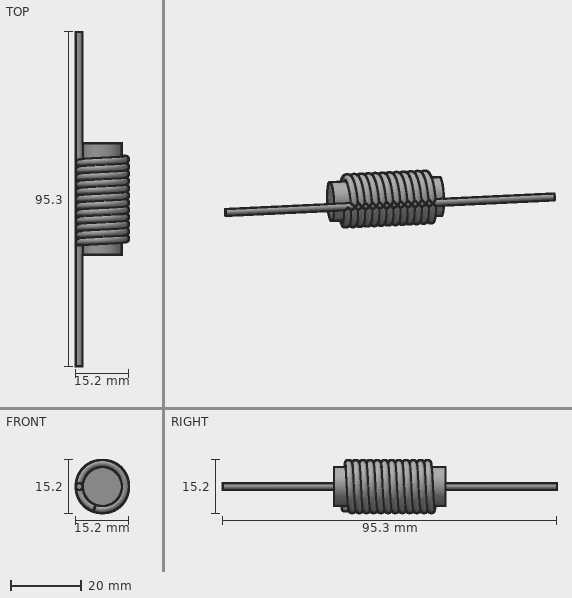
import cadquery as cq
import math

total_length = 95.25
coil_diameter = 15.2
core_diameter = 11.1
core_length = 31.8
core_gap = 0.01
turn_gap = 0.01
straight_inset = 0.01
turns_between_leads = 12
overshoot_angle = 70.0

wire_diameter = (coil_diameter - core_diameter) / 2 - core_gap
wire_radius = wire_diameter / 2
straight_radius = wire_radius - straight_inset
winding_radius = (coil_diameter - wire_diameter) / 2

pitch = wire_diameter + turn_gap
overshoot_turns = overshoot_angle / 360
winding_length = (turns_between_leads + overshoot_turns) * pitch
winding_start_y = -(turns_between_leads / 2 + overshoot_turns) * pitch


def y_cylinder(radius, length, x):
    """A cylinder along Y, centred on Y = 0, with its axis at the given X and Z = 0."""
    return (
        cq.Workplane("XZ", origin=(x, -length / 2, 0))
        .circle(radius)
        .extrude(-length)
    )


def make_winding():
    """The helical turns, made along Z and then laid along the Y axis."""
    helix = cq.Wire.makeHelix(pitch, winding_length, winding_radius, lefthand=True)
    rise_angle = math.atan2(pitch, 2 * math.pi * winding_radius)
    section = cq.Plane(
        origin=(winding_radius, 0, 0),
        xDir=(1, 0, 0),
        normal=(0, -math.cos(rise_angle), math.sin(rise_angle)),
    )
    upright_turns = (
        cq.Workplane(section)
        .circle(wire_radius)
        .sweep(cq.Workplane(obj=helix), isFrenet=True)
    )
    return (
        upright_turns
        .rotate((0, 0, 0), (0, 0, 1), 180 + overshoot_angle)
        .rotate((0, 0, 0), (1, 0, 0), -90)
        .mirror("XY")
        .translate((0, winding_start_y, 0))
    )


def make_core():
    """The plain rod that the wire is wound on."""
    return y_cylinder(core_diameter / 2, core_length, 0)


def make_coil():
    """The winding, joined along its -X side to the straight wire that forms both leads."""
    straight_wire = y_cylinder(straight_radius, total_length, -winding_radius)
    return make_winding().union(straight_wire)


core = make_core()
coil = make_coil()

result = cq.Compound.makeCompound([core.val(), coil.solids().val()])